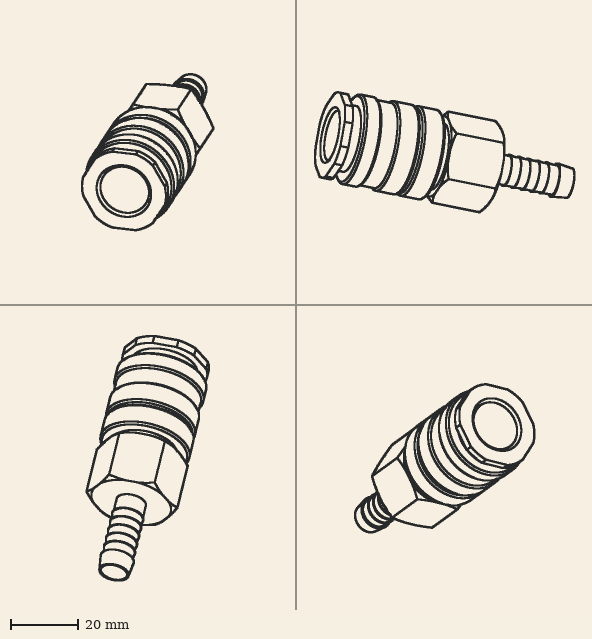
import cadquery as cq
import math

LENGTH = 76.0

FLANGE_RADIUS = 13.0
FLANGE_FLAT_DISTANCE = 12.5
FLANGE_THICKNESS = 2.5

CORE_RADIUS = 10.0

SLEEVE_START = 6.15
SLEEVE_END = 31.7
SLEEVE_RADIUS = 13.0
BAND_DIAMETER = 27.3
BAND_RADIUS = BAND_DIAMETER / 2
BAND_CHAMFER = BAND_RADIUS - SLEEVE_RADIUS
FRONT_BAND_WIDTH = 5.4
GRIP_BAND_WIDTH = 7.1
GRIP_BAND_GAP = 0.9

HEX_START = 34.05
HEX_END = 51.0
HEX_FLAT_DISTANCE = 12.0
HEX_FACE_RADIUS = 12.15
HEX_CHAMFER_ANGLE = 30.0
HEX_HALF_ANGLE = 30.0

TAIL_RADIUS = 4.5
BARB_RADIUS = 5.1
BARB_LENGTH = 4.8
RIDGE_RADIUS = 4.8
RIDGE_LENGTH = 1.5
RIDGE_PITCH = 3.0
RIDGE_COUNT = 5
FIRST_RIDGE_START = 56.0

BORE_RADIUS = 4.0
SOCKET_RADIUS = 7.5
SOCKET_MOUTH_RADIUS = 8.4
SOCKET_CHAMFER_DEPTH = 0.9
SOCKET_DEPTH = HEX_START


def cone(y_start, y_end, start_radius, end_radius):
    """Solid of revolution about Y whose radius changes evenly from one end to the other."""
    profile = [(0, y_start), (start_radius, y_start), (end_radius, y_end), (0, y_end)]
    return cq.Workplane("XY").polyline(profile).close().revolve(360, (0, 0), (0, 1))


def cylinder(y_start, y_end, radius):
    return cone(y_start, y_end, radius, radius)


def hex_prism(y_start, y_end, flat_distance):
    """Hexagonal prism along Y with corners on X and flats facing +Z and -Z."""
    corner_diameter = 2 * flat_distance / math.cos(math.radians(HEX_HALF_ANGLE))
    base = cq.Workplane("XZ", origin=(0, y_start, 0))
    return base.polygon(6, corner_diameter).extrude(y_start - y_end)


def mouth_flange():
    disc = cylinder(0, FLANGE_THICKNESS, FLANGE_RADIUS)
    return disc.intersect(hex_prism(0, FLANGE_THICKNESS, FLANGE_FLAT_DISTANCE))


def grip_band(y_start, width):
    band = cylinder(y_start, y_start + width, BAND_RADIUS)
    return band.faces("<Y or >Y").edges().chamfer(BAND_CHAMFER)


def sleeve():
    body = cylinder(SLEEVE_START, SLEEVE_END, SLEEVE_RADIUS)
    rear_band_start = SLEEVE_END - GRIP_BAND_WIDTH
    middle_band_start = rear_band_start - GRIP_BAND_GAP - GRIP_BAND_WIDTH
    body = body.union(grip_band(SLEEVE_START, FRONT_BAND_WIDTH))
    for band_start in (middle_band_start, rear_band_start):
        body = body.union(grip_band(band_start, GRIP_BAND_WIDTH))
    return body


def hex_nut():
    """Hexagon whose corners are turned down by a shallow cone at both ends."""
    corner_radius = HEX_FLAT_DISTANCE / math.cos(math.radians(HEX_HALF_ANGLE))
    chamfer_length = (corner_radius - HEX_FACE_RADIUS) * math.tan(math.radians(HEX_CHAMFER_ANGLE))
    profile = [
        (0, HEX_START),
        (HEX_FACE_RADIUS, HEX_START),
        (corner_radius, HEX_START + chamfer_length),
        (corner_radius, HEX_END - chamfer_length),
        (HEX_FACE_RADIUS, HEX_END),
        (0, HEX_END),
    ]
    turned_blank = cq.Workplane("XY").polyline(profile).close().revolve(360, (0, 0), (0, 1))
    return turned_blank.intersect(hex_prism(HEX_START, HEX_END, HEX_FLAT_DISTANCE))


def hose_tail():
    """Tube with a barbed tip and tapered ridges, all widest towards the nut."""
    tail = cylinder(HEX_END, LENGTH, TAIL_RADIUS)
    tail = tail.union(cone(LENGTH - BARB_LENGTH, LENGTH, BARB_RADIUS, TAIL_RADIUS))
    for index in range(RIDGE_COUNT):
        ridge_start = FIRST_RIDGE_START + index * RIDGE_PITCH
        ridge = cone(ridge_start, ridge_start + RIDGE_LENGTH, RIDGE_RADIUS, TAIL_RADIUS)
        tail = tail.union(ridge)
    return tail


def passage():
    """Through bore, wider plug socket and the socket's lead-in chamfer."""
    bore = cylinder(0, LENGTH, BORE_RADIUS)
    socket = cylinder(0, SOCKET_DEPTH, SOCKET_RADIUS)
    lead_in = cone(0, SOCKET_CHAMFER_DEPTH, SOCKET_MOUTH_RADIUS, SOCKET_RADIUS)
    return bore.union(socket).union(lead_in)


core = cylinder(0, HEX_START, CORE_RADIUS)
body = core.union(mouth_flange()).union(sleeve()).union(hex_nut()).union(hose_tail())
result = body.cut(passage())